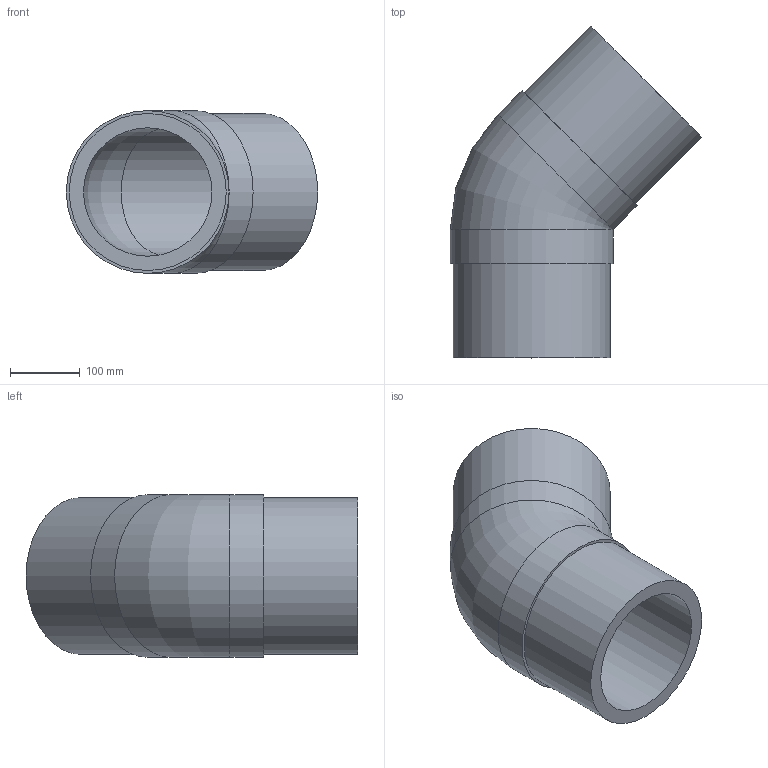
import cadquery as cq
import math

BEND_ANGLE = 45.0
SPIGOT_DIAMETER = 225.0
BORE_DIAMETER = 184.0
COLLAR_DIAMETER = 233.2
LEG_LENGTH = 232.0
COLLAR_LENGTH = 48.6
INNER_CORNER_RADIUS = 0.4

BEND_RADIUS = COLLAR_DIAMETER / 2 + INNER_CORNER_RADIUS
BORE_BEND_RADIUS = BORE_DIAMETER / 2 + INNER_CORNER_RADIUS


def tangent_length(bend_radius):
    """Distance from the crossing point of the axes to where a bend starts."""
    return bend_radius * math.tan(math.radians(BEND_ANGLE / 2))


def leg_cylinder(diameter, near, far):
    """First-leg cylinder between two distances from the crossing point."""
    end_plane = cq.Workplane("XZ", origin=(0, -far, 0))
    return end_plane.circle(diameter / 2).extrude(near - far)


def both_legs(leg):
    """The first leg joined with its copy turned over about the elbow's bisector."""
    bisector_angle = math.radians(BEND_ANGLE / 2)
    bisector = (-math.cos(bisector_angle), math.sin(bisector_angle), 0)
    return leg.union(leg.rotate((0, 0, 0), bisector, 180))


def bend(diameter, bend_radius):
    """Round bend tangent to both leg axes."""
    start_plane = cq.Workplane("XZ", origin=(0, -tangent_length(bend_radius), 0))
    section = start_plane.circle(diameter / 2)
    return section.revolve(BEND_ANGLE, (bend_radius, 1, 0), (bend_radius, 0, 0))


def outer_body():
    """Solid elbow: a bend, then a collar and a narrower spigot on each leg."""
    collar_start = tangent_length(BEND_RADIUS)
    collar_end = collar_start + COLLAR_LENGTH
    collar = leg_cylinder(COLLAR_DIAMETER, collar_start, collar_end)
    spigot = leg_cylinder(SPIGOT_DIAMETER, collar_end, LEG_LENGTH)
    return bend(COLLAR_DIAMETER, BEND_RADIUS).union(both_legs(collar.union(spigot)))


def passage():
    """Constant-diameter bore running through both legs."""
    straight_bore = leg_cylinder(BORE_DIAMETER, tangent_length(BORE_BEND_RADIUS), LEG_LENGTH)
    return bend(BORE_DIAMETER, BORE_BEND_RADIUS).union(both_legs(straight_bore))


result = outer_body().cut(passage())